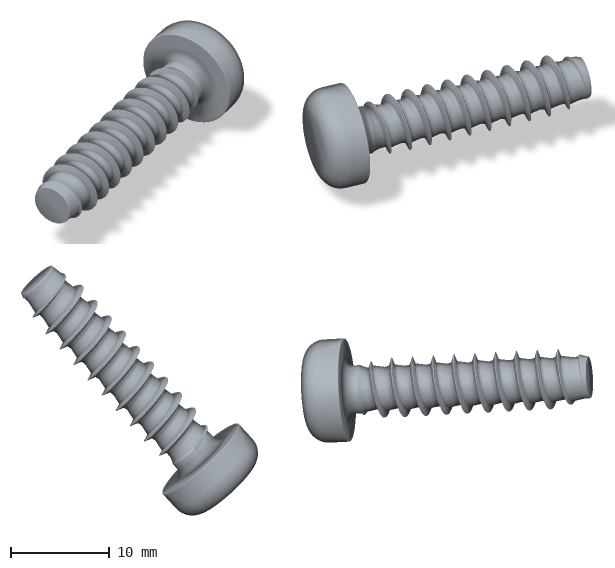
import cadquery as cq
import math


head_radius = 5.25
head_height = 4.19
head_dome_radius = 2.1
bearing_edge_radius = 0.1

shank_length = 25.0
neck_radius = 2.45
neck_fillet = 0.8
neck_length = 1.5
core_radius = 2.15
core_start = 2.47
tip_radius = 2.1
tip_cone_height = 0.05
tip_rim = shank_length - tip_cone_height
tip_taper = 0.3
tip_taper_start = tip_rim - (core_radius - tip_radius) / tip_taper

pitch = 2.141
crest_height_at_seam = 4.63
seam_angle = 90
crest_radius = 3.05
crest_half_width = 0.03
flank_slope = math.tan(math.radians(20))
front_foot_radius = 2.33
rear_foot_radius = 2.25
rear_root = -0.72
sunk_radius = core_radius - 0.01
turn_gap = 0.04
base_radius = 1.8
root_margin = 0.1

ridge_start = 1.5
ridge_end = 24.6
run_in_sink = 0.43
run_in_end = 4.05
run_out_start = 21.8
run_out_sink = 0.92
points_per_turn = 12


def make_blank():
    """Head, neck and core as one solid of revolution."""
    diagonal = math.sqrt(0.5)
    dome_inset = head_dome_radius * (1 - diagonal)
    edge_inset = bearing_edge_radius * (1 - diagonal)
    fillet_inset = neck_fillet * (1 - diagonal)

    blend_length = core_start - neck_length
    blend_height = neck_radius - core_radius
    blend_radius = (blend_length**2 + blend_height**2) / (2 * blend_height)
    half_length = blend_length / 2
    blend_mid_rise = blend_radius - math.sqrt(blend_radius**2 - half_length**2)

    outline = (
        cq.Workplane("XZ")
        .moveTo(0, -head_height)
        .lineTo(head_radius - head_dome_radius, -head_height)
        .threePointArc(
            (head_radius - dome_inset, -head_height + dome_inset),
            (head_radius, -head_height + head_dome_radius),
        )
        .lineTo(head_radius, -bearing_edge_radius)
        .threePointArc(
            (head_radius - edge_inset, -edge_inset),
            (head_radius - bearing_edge_radius, 0),
        )
        .lineTo(neck_radius + neck_fillet, 0)
        .threePointArc(
            (neck_radius + fillet_inset, fillet_inset),
            (neck_radius, neck_fillet),
        )
        .lineTo(neck_radius, neck_length)
        .threePointArc(
            (core_radius + blend_mid_rise, core_start - half_length),
            (core_radius, core_start),
        )
        .lineTo(core_radius, tip_taper_start)
        .lineTo(tip_radius, tip_rim)
        .lineTo(0, shank_length)
        .close()
    )
    return outline.revolve(360, (0, 0), (0, 1))


def crest_angle(height):
    """Angle about the axis, in radians, at which the crest reaches a height."""
    turns = (height - crest_height_at_seam) / pitch
    return math.radians(seam_angle) + 2 * math.pi * turns


def ridge_sink(height):
    """Radial depth by which the ridge has sunk into the shank at a crest height."""
    if height < run_in_end:
        return run_in_sink * (run_in_end - height) / (run_in_end - ridge_start)
    if height > run_out_start:
        return run_out_sink * (height - run_out_start) / (ridge_end - run_out_start)
    return 0


def make_root():
    """Sloping thread root, swept along a helix and trimmed to the neck and the tapered tip."""
    first_crest = crest_height_at_seam - 2 * pitch
    peak = crest_half_width
    front_foot = crest_half_width + (crest_radius - front_foot_radius) * flank_slope
    front_edge = rear_root + pitch - turn_gap
    fall = (front_foot_radius - sunk_radius) / (front_edge - front_foot)
    peak_radius = front_foot_radius + fall * (front_foot - peak)

    profile = (
        cq.Workplane("XZ", origin=(0, 0, first_crest))
        .moveTo(sunk_radius, -root_margin)
        .lineTo(peak_radius, peak)
        .lineTo(sunk_radius, front_edge)
        .lineTo(base_radius, peak)
        .close()
    )
    turns = math.ceil((shank_length - first_crest) / pitch)
    helix = cq.Wire.makeHelix(pitch, turns * pitch, core_radius, center=cq.Vector(0, 0, first_crest))
    root = profile.sweep(cq.Workplane(obj=helix), isFrenet=True)

    trim = (
        cq.Workplane("XZ")
        .moveTo(0, ridge_start)
        .lineTo(crest_radius, ridge_start)
        .lineTo(crest_radius, tip_rim - (crest_radius - tip_radius) / tip_taper)
        .lineTo(tip_radius, tip_rim)
        .lineTo(0, tip_rim)
        .close()
        .revolve(360, (0, 0), (0, 1))
    )
    trimmed = root.intersect(about_axis(trim, 180), clean=False)
    return about_axis(trimmed, seam_angle)


def make_ridge(first_height, last_height):
    """Stretch of the sharp thread ridge between two crest heights, bounded by ruled helical faces."""
    rear_foot = -crest_half_width - (crest_radius - rear_foot_radius) * flank_slope
    front_foot = crest_half_width + (crest_radius - front_foot_radius) * flank_slope
    section = [
        (sunk_radius, rear_root + turn_gap / 2),
        (rear_foot_radius, rear_foot),
        (crest_radius, -crest_half_width),
        (crest_radius, crest_half_width),
        (front_foot_radius, front_foot),
        (base_radius, 0),
    ]
    length = last_height - first_height
    steps = math.ceil(length / pitch * points_per_turn)
    heights = [first_height + length * i / steps for i in range(steps + 1)]

    def rail(radius, offset):
        points = []
        for height in heights:
            angle = crest_angle(height)
            sunk = radius - ridge_sink(height)
            points.append(cq.Vector(sunk * math.cos(angle), sunk * math.sin(angle), height + offset))
        return cq.Edge.makeSpline(points)

    rails = [rail(radius, offset) for radius, offset in section]
    next_rails = rails[1:] + rails[:1]
    faces = [cq.Face.makeRuledSurface(a, b) for a, b in zip(rails, next_rails)]
    for end in (0, 1):
        corners = [edge.positionAt(end) for edge in rails]
        faces.append(cq.Face.makeFromWires(cq.Wire.makePolygon(corners, close=True)))
    return cq.Workplane(obj=cq.Solid.makeSolid(cq.Shell.makeShell(faces)))


def about_axis(part, angle):
    """Turn a part about the screw axis."""
    return part.rotate((0, 0, 0), (0, 0, 1), angle)


blank = about_axis(make_blank(), seam_angle)
screw = blank.union(make_root(), clean=False)
middle = (run_in_end + run_out_start) / 2
stations = [ridge_start, run_in_end, middle, run_out_start, ridge_end]
for lower, upper in zip(stations, stations[1:]):
    screw = screw.union(make_ridge(lower, upper), clean=False)
result = screw.rotate((0, 0, 0), (1, 0, 0), 90)